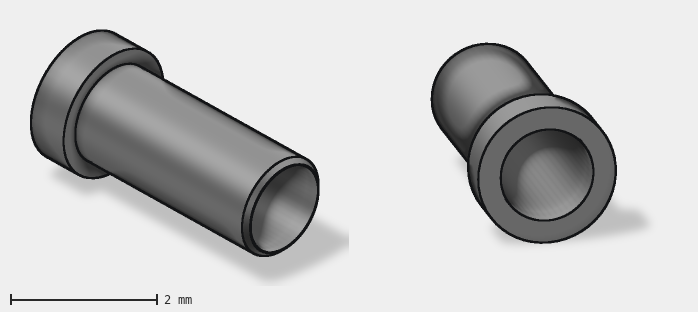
import cadquery as cq

total_length = 3.94
head_diameter = 1.93
head_thickness = 0.635
shank_diameter = 1.48
bore_diameter = 1.3
tip_chamfer = 0.08

head = cq.Workplane("YZ").circle(head_diameter / 2).extrude(head_thickness)

shank = (
    cq.Workplane("YZ")
    .circle(shank_diameter / 2)
    .extrude(total_length)
    .faces(">X")
    .chamfer(tip_chamfer)
)

bore = cq.Workplane("YZ").circle(bore_diameter / 2).extrude(total_length)

result = head.union(shank).cut(bore)